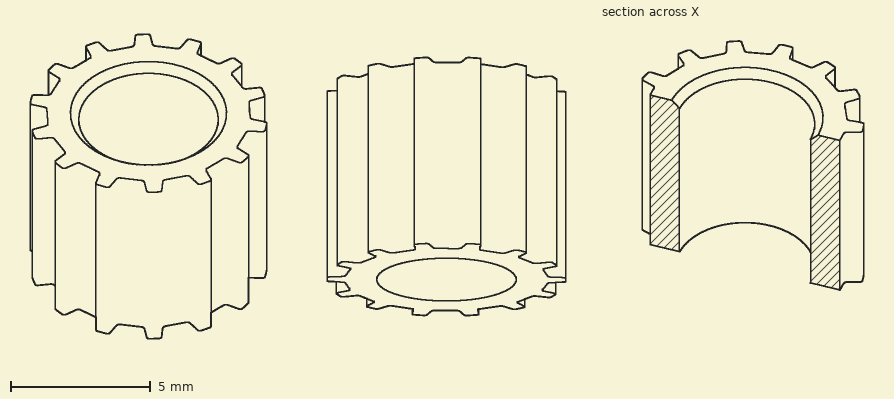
import cadquery as cq
import math

tooth_count = 14
outer_radius = 4.275
height = 7.0
root_distance = 3.625
floor_width = 0.96
flank_angle = 20.0
root_fillet = 0.13
tip_fillet = 0.1
bore_radius = 2.5
bore_chamfer = 0.3

pitch_angle = 360.0 / tooth_count
gap_overshoot = 0.17


def gap_cutter():
    """Trapezoidal gap along +X, with its floor corners rounded."""
    mouth_distance = outer_radius + gap_overshoot
    half_floor = floor_width / 2
    half_mouth = half_floor + (mouth_distance - root_distance) * math.tan(math.radians(flank_angle))
    return (
        cq.Workplane("XY")
        .polyline([
            (root_distance, -half_floor),
            (mouth_distance, -half_mouth),
            (mouth_distance, half_mouth),
            (root_distance, half_floor),
        ])
        .close()
        .extrude(height)
        .edges("|Z and <X")
        .fillet(root_fillet)
    )


def toothed_blank():
    """Cylinder with evenly spaced gaps; one tooth is centred on +X."""
    blank = cq.Workplane("XY").circle(outer_radius).extrude(height)
    cutter = gap_cutter()
    for index in range(tooth_count):
        gap_angle = (index + 0.5) * pitch_angle
        blank = blank.cut(cutter.rotate((0, 0, 0), (0, 0, 1), gap_angle))
    return blank


def round_tooth_tips(body):
    """Round the two long edges at the tip of every tooth."""
    tip_zone_radius = (root_distance + outer_radius) / 2
    tip_edges = [
        edge for edge in body.edges("|Z").vals()
        if math.hypot(edge.Center().x, edge.Center().y) > tip_zone_radius
    ]
    return body.newObject(tip_edges).fillet(tip_fillet)


def bore_cutter():
    """Through bore with a 45 degree countersink at the top."""
    bore = cq.Workplane("XY").circle(bore_radius).extrude(height)
    countersink = (
        cq.Workplane("XY")
        .workplane(offset=height)
        .circle(bore_radius + bore_chamfer)
        .workplane(offset=-bore_chamfer)
        .circle(bore_radius)
        .loft()
    )
    return bore.union(countersink)


result = round_tooth_tips(toothed_blank()).cut(bore_cutter())